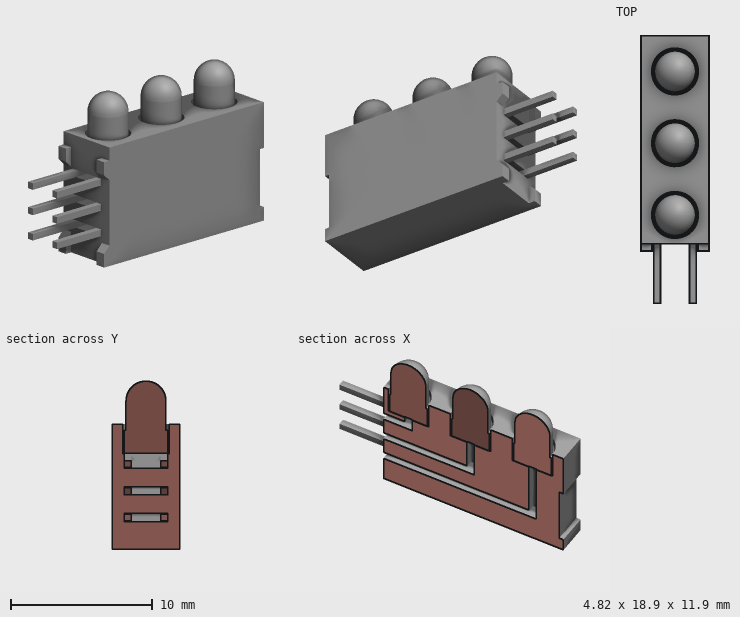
import cadquery as cq


HOUSING_WIDTH = 4.82
HOUSING_LENGTH = 14.72
HOUSING_HEIGHT = 8.85

BACK_RECESS_DEPTH = 0.35
BACK_RECESS_BOTTOM = 1.02
BACK_RECESS_TOP = 5.43

FOOT_WIDTH = 0.8
FOOT_DEPTH = 0.51
LOWER_FOOT_HEIGHT = 1.02
UPPER_FOOT_BOTTOM = 6.9
UPPER_FOOT_TOP = 7.87

LED_COUNT = 3
LED_PITCH = 5.07
FIRST_LED_Y = 2.05
LENS_RADIUS = 1.45
LENS_SHOULDER = 1.63
FLANGE_RADIUS = 1.57
FLANGE_DEPTH = 0.4
SOCKET_RADIUS = 1.65
SOCKET_DEPTH = 2.08

LEAD_SIZE = 0.5
LEAD_SPACING = 2.54
LEAD_PROJECTION = 4.2
TOP_LEAD_Z = 6.04
LEAD_ROW_PITCH = 1.9
SLOT_CLEARANCE = 0.028

SOCKET_FLOOR = HOUSING_HEIGHT - SOCKET_DEPTH
SLOT_WIDTH = LEAD_SPACING + LEAD_SIZE
SLOT_THICKNESS = LEAD_SIZE + 2 * SLOT_CLEARANCE


def led_y(index):
    """Y of an LED axis, counted from the front wall."""
    return FIRST_LED_Y + index * LED_PITCH


def lead_z(index):
    """Height of the lead row of an LED: the front LED uses the top row."""
    return TOP_LEAD_Z - index * LEAD_ROW_PITCH


def block(x_center, width, y_range, z_range):
    """Box centred on x_center that spans the given Y and Z ranges."""
    y_low, y_high = y_range
    z_low, z_high = z_range
    return (
        cq.Workplane("XY")
        .box(width, y_high - y_low, z_high - z_low, centered=(True, False, False))
        .translate((x_center, y_low, z_low))
    )


def angled_bar(index, x_center, width, thickness, front_y):
    """L-shaped bar: down from the socket floor on the LED axis, then forward to front_y."""
    back_y = led_y(index) + thickness / 2
    bottom_z = lead_z(index) - thickness / 2
    upright = block(x_center, width, (back_y - thickness, back_y), (bottom_z, SOCKET_FLOOR))
    forward = block(x_center, width, (front_y, back_y), (bottom_z, bottom_z + thickness))
    return upright.union(forward)


def make_foot(side, profile):
    """Foot with the given (Y, Z) profile, flush with one side wall (side is -1 or 1)."""
    foot = cq.Workplane("YZ").polyline(profile).close().extrude(FOOT_WIDTH / 2, both=True)
    return foot.translate((side * (HOUSING_WIDTH - FOOT_WIDTH) / 2, 0, 0))


def make_housing():
    body = block(0, HOUSING_WIDTH, (0, HOUSING_LENGTH), (0, HOUSING_HEIGHT))

    recess_y = (HOUSING_LENGTH - BACK_RECESS_DEPTH, HOUSING_LENGTH)
    body = body.cut(block(0, HOUSING_WIDTH, recess_y, (BACK_RECESS_BOTTOM, BACK_RECESS_TOP)))

    lower_profile = [
        (0, 0),
        (-FOOT_DEPTH, 0),
        (-FOOT_DEPTH, LOWER_FOOT_HEIGHT),
        (0, LOWER_FOOT_HEIGHT + FOOT_DEPTH),
    ]
    upper_profile = [
        (0, UPPER_FOOT_TOP),
        (-FOOT_DEPTH, UPPER_FOOT_TOP),
        (-FOOT_DEPTH, UPPER_FOOT_BOTTOM),
        (0, UPPER_FOOT_BOTTOM - FOOT_DEPTH),
    ]
    for side in (-1, 1):
        for profile in (lower_profile, upper_profile):
            body = body.union(make_foot(side, profile))

    for index in range(LED_COUNT):
        socket = (
            cq.Workplane("XY", origin=(0, led_y(index), SOCKET_FLOOR))
            .circle(SOCKET_RADIUS)
            .extrude(SOCKET_DEPTH)
        )
        body = body.cut(socket)
        body = body.cut(angled_bar(index, 0, SLOT_WIDTH, SLOT_THICKNESS, 0))
    return body


def make_led(index):
    flange_top = HOUSING_HEIGHT - FLANGE_DEPTH
    dome_base = HOUSING_HEIGHT + LENS_SHOULDER

    flange = cq.Workplane("XY").workplane(offset=SOCKET_FLOOR).circle(FLANGE_RADIUS)
    flange = flange.extrude(flange_top - SOCKET_FLOOR)
    barrel = cq.Workplane("XY").workplane(offset=flange_top).circle(LENS_RADIUS)
    barrel = barrel.extrude(dome_base - flange_top)
    dome = cq.Workplane("XY").sphere(LENS_RADIUS).translate((0, 0, dome_base))
    led = flange.union(barrel).union(dome).translate((0, led_y(index), 0))

    for side in (-1, 1):
        lead_x = side * LEAD_SPACING / 2
        led = led.union(angled_bar(index, lead_x, LEAD_SIZE, LEAD_SIZE, -LEAD_PROJECTION))
    return led


housing = make_housing()
leds = [make_led(index) for index in range(LED_COUNT)]

result = cq.Compound.makeCompound([housing.val(), *[led.val() for led in leds]])